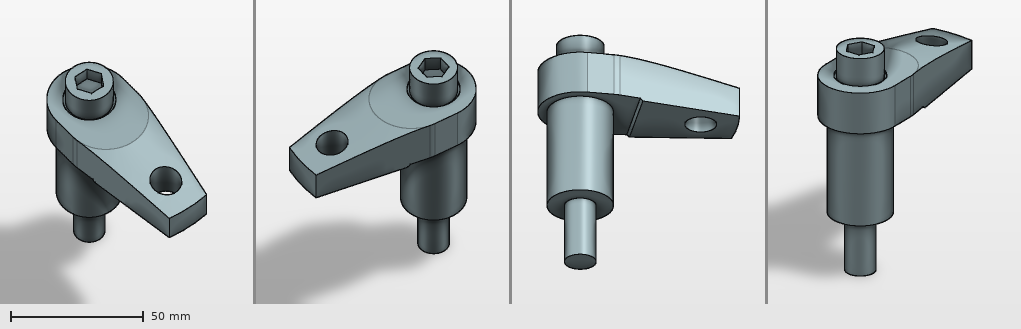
import cadquery as cq
import math


total_height = 92.0
arm_top = 81.0
boss_bottom = 64.0
pad_bottom = 63.0
sleeve_bottom = 24.0

boss_radius = 16.0
boss_offset = 10.0
tip_radius = 60.0
tip_half_width = 9.0
tip_corner_x = math.sqrt(tip_radius**2 - tip_half_width**2)
top_slope = 10.0
tip_hole_x = 46.0
tip_hole_diameter = 12.0
pad_start = 20.3

sleeve_diameter = 25.0
shank_diameter = 12.0
head_diameter = 18.0
head_height = 12.0
head_recess_diameter = 20.0
socket_flats = 10.0
socket_depth = 6.0
head_bottom = total_height - head_height


def arm_outline():
    """Plan of the arm: an elongated boss, tangent flanks and a rounded tip."""
    corner_dx = tip_corner_x - boss_offset
    corner_distance = math.hypot(corner_dx, tip_half_width)
    tangent_angle = math.atan2(tip_half_width, corner_dx) + math.acos(boss_radius / corner_distance)
    mid_angle = (tangent_angle + math.pi / 2) / 2

    def on_boss_arc(angle, side):
        x = boss_offset + boss_radius * math.cos(angle)
        return (x, side * boss_radius * math.sin(angle))

    return (
        cq.Workplane("XY", origin=(0, 0, pad_bottom))
        .moveTo(0, boss_radius)
        .lineTo(boss_offset, boss_radius)
        .threePointArc(on_boss_arc(mid_angle, 1), on_boss_arc(tangent_angle, 1))
        .lineTo(tip_corner_x, tip_half_width)
        .threePointArc((tip_radius, 0), (tip_corner_x, -tip_half_width))
        .lineTo(*on_boss_arc(tangent_angle, -1))
        .threePointArc(on_boss_arc(mid_angle, -1), (boss_offset, -boss_radius))
        .lineTo(0, -boss_radius)
        .threePointArc((-boss_radius, 0), (0, boss_radius))
        .close()
    )


def top_slope_cutter():
    """Half ring on the tip side, above the cone that falls away from the second boss centre."""
    outer_radius = boss_radius + tip_radius
    drop = (outer_radius - boss_radius) * math.tan(math.radians(top_slope))
    return (
        cq.Workplane("XZ", origin=(boss_offset, 0, arm_top))
        .moveTo(boss_radius, 0)
        .lineTo(outer_radius, -drop)
        .lineTo(outer_radius, 0)
        .close()
        .revolve(180, (0, 0), (0, 1))
        .rotate((boss_offset, 0, 0), (boss_offset, 0, 1), -90)
    )


def underside_cutter():
    """Removes the pad thickness below the boss, ending in a 45 degree step."""
    pad_height = boss_bottom - pad_bottom
    return (
        cq.Workplane("XZ")
        .moveTo(-boss_radius, pad_bottom)
        .lineTo(pad_start + pad_height, pad_bottom)
        .lineTo(pad_start, boss_bottom)
        .lineTo(-boss_radius, boss_bottom)
        .close()
        .extrude(boss_radius, both=True)
    )


def cylinder(diameter, bottom, top, x=0):
    return cq.Workplane("XY", origin=(x, 0, bottom)).circle(diameter / 2).extrude(top - bottom)


def make_clamp():
    """Arm and sleeve in one piece, bored for the screw."""
    arm = arm_outline().extrude(arm_top - pad_bottom)
    arm = arm.cut(top_slope_cutter()).cut(underside_cutter())
    arm = arm.cut(cylinder(tip_hole_diameter, pad_bottom, arm_top, tip_hole_x))
    clamp = arm.union(cylinder(sleeve_diameter, sleeve_bottom, boss_bottom))
    clamp = clamp.cut(cylinder(shank_diameter, sleeve_bottom, arm_top))
    return clamp.cut(cylinder(head_recess_diameter, head_bottom, arm_top))


def make_screw():
    """Cap screw with a hexagon socket; two socket corners point along Y."""
    shank = cylinder(shank_diameter, 0, head_bottom)
    screw = shank.union(cylinder(head_diameter, head_bottom, total_height))
    socket = (
        cq.Workplane("XY", origin=(0, 0, total_height - socket_depth))
        .polygon(6, socket_flats, circumscribed=True)
        .extrude(socket_depth)
    )
    return screw.cut(socket)


clamp = make_clamp()
screw = make_screw()

result = cq.Compound.makeCompound([*clamp.solids().vals(), *screw.solids().vals()])